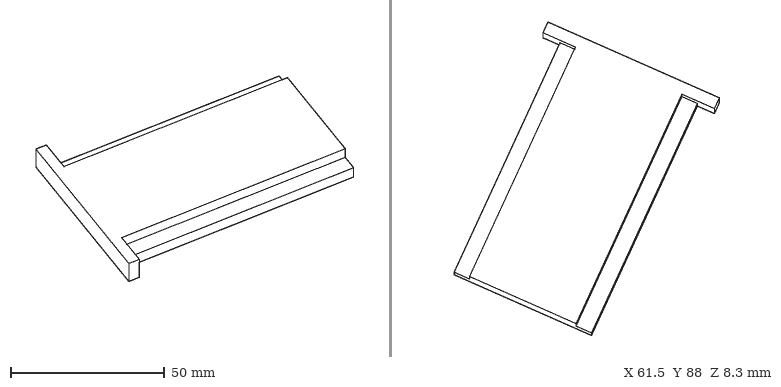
import cadquery as cq

length = 88.0
height = 8.3

flange_width = 61.5
flange_thickness = 4.0

base_width = 49.3
rail_width = 5.5
rail_height = 4.3
centre_width = base_width - 2 * rail_width


def block(width, depth, block_height):
    """Block centred on X, with its front face at Y = 0 and its bottom at Z = 0."""
    return cq.Workplane("XY").box(width, depth, block_height, centered=(True, False, False))


flange = block(flange_width, flange_thickness, height)
base = block(base_width, length, rail_height)
raised_centre = block(centre_width, length, height)

result = flange.union(base).union(raised_centre).clean()